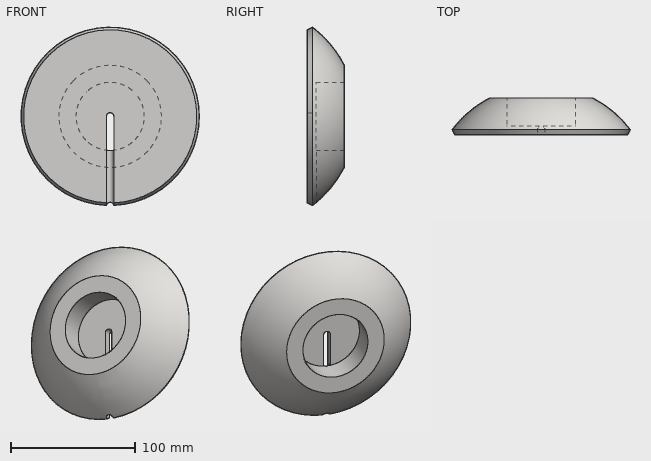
import cadquery as cq
import math

rim_radius = 71.9
face_radius = 69.8
back_radius = 41.3
thickness = 29.9
rim_height = 4.2
dome_radius = 90.2

recess_diameter = 55.0
recess_floor = 7.2

slot_width = 5.8
slot_radius = slot_width / 2
slot_straight_depth = 4.5

y_middle = (rim_height + thickness) / 2
y_front = -thickness / 2


def dome_body():
    """Revolved disc: flared rim, spherical dome and flat back."""
    center_y = rim_height - math.sqrt(dome_radius**2 - rim_radius**2)
    arc_middle_radius = math.sqrt(dome_radius**2 - (y_middle - center_y) ** 2)
    profile = (
        cq.Workplane("XY")
        .lineTo(face_radius, 0)
        .lineTo(rim_radius, rim_height)
        .threePointArc((arc_middle_radius, y_middle), (back_radius, thickness))
        .lineTo(0, thickness)
        .close()
    )
    return profile.revolve(360, (0, 0, 0), (0, 1, 0))


def back_recess():
    """Cylinder cut from the back down to the recess floor."""
    plane = cq.Workplane("XZ", origin=(0, thickness, 0))
    return plane.circle(recess_diameter / 2).extrude(thickness - recess_floor)


def cable_groove():
    """Round-bottomed groove along -Z, from the axis out through the rim."""
    return (
        cq.Workplane("XY")
        .moveTo(-slot_radius, 0)
        .lineTo(-slot_radius, slot_straight_depth)
        .threePointArc((0, slot_straight_depth + slot_radius), (slot_radius, slot_straight_depth))
        .lineTo(slot_radius, 0)
        .close()
        .extrude(-rim_radius)
    )


def through_slot():
    """Slot through the recess floor, from the axis to the recess wall."""
    plane = cq.Workplane("XZ")
    rounded_end = plane.circle(slot_radius).extrude(-recess_floor)
    straight = (
        plane.center(0, -recess_diameter / 4)
        .rect(slot_width, recess_diameter / 2)
        .extrude(-recess_floor)
    )
    recess_outline = plane.circle(recess_diameter / 2).extrude(-recess_floor)
    return rounded_end.union(straight.intersect(recess_outline))


body = dome_body().cut(back_recess()).cut(cable_groove()).cut(through_slot())
result = body.translate((0, y_front, 0))